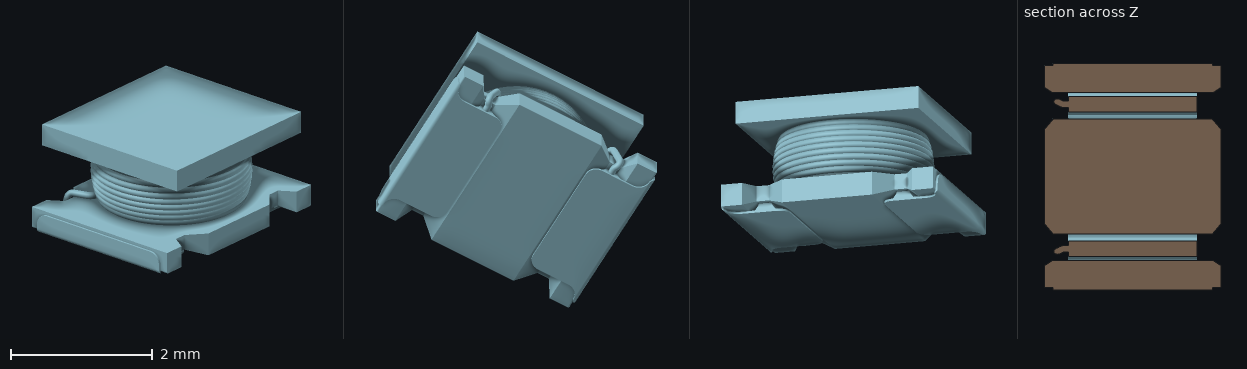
import cadquery as cq
import math


core_width = 2.5
cap_length = 2.7
cap_thickness = 0.32
foot_thickness = 0.32
foot_step = 0.015
foot_edge_radius = 0.025
terminal_thickness = 0.032
overall_length = 3.2
overall_height = 1.55
foot_length = overall_length - 2 * terminal_thickness
coil_height = overall_height - cap_thickness - foot_thickness - terminal_thickness

notch_inner = 0.665
notch_floor_inner = 0.928
notch_floor_outer = 1.11
notch_outer = 1.255
notch_depth = 0.225
groove_ceiling = -0.225

coil_turns = 10
coil_middle_radius = 1.123
coil_end_radius = 1.037
turn_bulge = 0.02

terminal_width = 2.26
terminal_shoulder_width = 2.175
terminal_bottom_width = 1.825
terminal_leaf_length = 0.902
terminal_top_gap = 0.048
terminal_corner_radius = 0.175
terminal_end_radius = 0.165

wire_diameter = 0.1
lead_clearance = 0.003
bend_radius = 0.077
lead_start = (-0.672, 0.64)
lead_exit = (-0.795, 0.835)
lead_bend = (-1.105, 0.935)
lead_foot_y = 1.08
lead_tail_x = -0.992
solder_base_width = 0.315
solder_sag = 0.01

foot_bottom = -foot_thickness
foot_half_width = core_width / 2
groove_floor_x = foot_half_width - notch_depth
groove_center = (notch_floor_inner + notch_floor_outer) / 2


def make_cap():
    return (
        cq.Workplane("XY")
        .workplane(offset=coil_height)
        .rect(core_width, cap_length)
        .extrude(cap_thickness)
    )


def make_coil():
    """Barrel of bulging turns, turned about Z, solid to the axis."""
    def valley_radius(z):
        offset = 2 * z / coil_height - 1
        return coil_middle_radius - (coil_middle_radius - coil_end_radius) * offset ** 2

    pitch = coil_height / coil_turns
    profile = cq.Workplane("XZ").lineTo(-coil_end_radius, 0)
    for turn in range(coil_turns):
        middle = (turn + 0.5) * pitch
        top = (turn + 1) * pitch
        profile = profile.threePointArc(
            (-valley_radius(middle) - turn_bulge, middle), (-valley_radius(top), top)
        )
    return profile.lineTo(0, coil_height).close().revolve(360, (0, 0, 0), (0, 1, 0))


def notch(side_x, side_y):
    """Tapered notch in one long side of the foot, through its full depth."""
    edge = side_x * foot_half_width
    floor = side_x * groove_floor_x
    outline = [
        (edge, side_y * notch_inner),
        (floor, side_y * notch_floor_inner),
        (floor, side_y * notch_floor_outer),
        (edge, side_y * notch_outer),
    ]
    return cq.Workplane("XY").polyline(outline).close().extrude(-foot_thickness - foot_step)


def make_foot():
    """Foot plate whose stepped section, with both wire grooves, runs along X."""
    step_bottom = foot_bottom - foot_step
    half_section = [
        (notch_inner, step_bottom),
        (notch_floor_inner, groove_ceiling),
        (notch_floor_outer, groove_ceiling),
        (notch_outer, foot_bottom),
        (foot_length / 2, foot_bottom),
        (foot_length / 2, 0),
    ]
    mirrored = [(-y, z) for y, z in reversed(half_section)]
    foot = (
        cq.Workplane("YZ")
        .polyline(half_section + mirrored)
        .close()
        .extrude(foot_half_width, both=True)
    )
    for side in (1, -1):
        lower_end_edge = cq.selectors.NearestToPointSelector((0, side * foot_length / 2, foot_bottom))
        foot = foot.edges("|X").edges(lower_end_edge).fillet(foot_edge_radius)
    for side_x in (1, -1):
        for side_y in (1, -1):
            foot = foot.cut(notch(side_x, side_y))
    return foot


def make_terminal():
    """L-shaped sheet terminal wrapped round the -Y end of the foot."""
    outer_y = -overall_length / 2
    outer_z = foot_bottom - terminal_thickness
    bend_outer = foot_edge_radius + terminal_thickness
    inner_y = outer_y + terminal_thickness
    leaf_end = outer_y + terminal_leaf_length
    arc_half = math.sqrt(0.5)
    bend_y = outer_y + bend_outer
    bend_z = outer_z + bend_outer
    sheet = (
        cq.Workplane("YZ")
        .moveTo(leaf_end, outer_z)
        .lineTo(bend_y, outer_z)
        .threePointArc((bend_y - bend_outer * arc_half, bend_z - bend_outer * arc_half), (outer_y, bend_z))
        .lineTo(outer_y, -terminal_top_gap)
        .lineTo(inner_y, -terminal_top_gap)
        .lineTo(inner_y, bend_z)
        .threePointArc(
            (bend_y - foot_edge_radius * arc_half, bend_z - foot_edge_radius * arc_half),
            (bend_y, foot_bottom),
        )
        .lineTo(leaf_end, foot_bottom)
        .close()
        .extrude(terminal_width / 2, both=True)
        .edges("|Y and >Z")
        .fillet(terminal_corner_radius)
    )
    wide = terminal_width / 2
    shoulder = terminal_shoulder_width / 2
    narrow = terminal_bottom_width / 2
    neck_radius = shoulder - narrow
    neck_cut = neck_radius * (1 - arc_half)
    inner_corner = cq.selectors.NearestToPointSelector((narrow, leaf_end, outer_z + foot_thickness / 2))
    half_plan = (
        cq.Workplane("XY", origin=(0, 0, outer_z))
        .moveTo(0, outer_y)
        .lineTo(wide, outer_y)
        .lineTo(wide, inner_y)
        .lineTo(shoulder, bend_y)
        .threePointArc(
            (narrow + neck_cut, bend_y + neck_cut),
            (narrow, bend_y + neck_radius),
        )
        .lineTo(narrow, leaf_end)
        .lineTo(0, leaf_end)
        .close()
        .extrude(foot_thickness)
        .edges(inner_corner)
        .fillet(terminal_end_radius)
    )
    return sheet.intersect(half_plan.union(half_plan.mirror("YZ")))


def rounded_path(corners, radius):
    """Wire through the corners, each inner corner replaced by a tangent arc."""
    points = [cq.Vector(*corner) for corner in corners]
    edges = []
    start = points[0]
    for before, corner, after in zip(points, points[1:], points[2:]):
        back = (before - corner).normalized()
        ahead = (after - corner).normalized()
        half_angle = back.getAngle(ahead) / 2
        setback = radius / math.tan(half_angle)
        arc_start = corner + back * setback
        arc_end = corner + ahead * setback
        arc_middle = corner + (back + ahead).normalized() * (radius / math.sin(half_angle) - radius)
        edges.append(cq.Edge.makeLine(start, arc_start))
        edges.append(cq.Edge.makeThreePointArc(arc_start, arc_middle, arc_end))
        start = arc_end
    edges.append(cq.Edge.makeLine(start, points[-1]))
    return cq.Wire.assembleEdges(edges)


def make_lead():
    """Wire lead from the coil, down the -X, -Y notch and along the groove."""
    wire_radius = wire_diameter / 2
    upper_z = wire_radius + lead_clearance
    lower_z = foot_bottom + upper_z
    corners = [
        (lead_start[0], -lead_start[1], upper_z),
        (lead_exit[0], -lead_exit[1], upper_z),
        (lead_bend[0], -lead_bend[1], upper_z),
        (lead_bend[0], -lead_foot_y, lower_z),
        (lead_tail_x, -groove_center, lower_z),
        (terminal_bottom_width / 2 - wire_diameter, -groove_center, lower_z),
    ]
    direction = cq.Vector(*corners[1]) - cq.Vector(*corners[0])
    section = cq.Plane(origin=corners[0], normal=direction.toTuple())
    path = cq.Workplane(rounded_path(corners, bend_radius))
    return cq.Workplane(section).circle(wire_radius).sweep(path)


def make_solder():
    """Solder bead that fixes the lead to the -Y terminal inside the groove."""
    half_base = solder_base_width / 2
    half_top = (notch_floor_outer - notch_floor_inner) / 2
    height = groove_ceiling - foot_bottom
    waist = ((half_base + half_top) / 2 - solder_sag, height / 2)
    return (
        cq.Workplane("YZ", origin=(-terminal_bottom_width / 2, -groove_center, foot_bottom))
        .moveTo(-half_base, 0)
        .threePointArc((-waist[0], waist[1]), (-half_top, height))
        .lineTo(half_top, height)
        .threePointArc(waist, (half_base, 0))
        .close()
        .extrude(terminal_bottom_width)
    )


connection = make_terminal().union(make_solder()).union(make_lead())
result = (
    make_cap()
    .union(make_coil())
    .union(make_foot())
    .union(connection)
    .union(connection.mirror("XZ"))
)